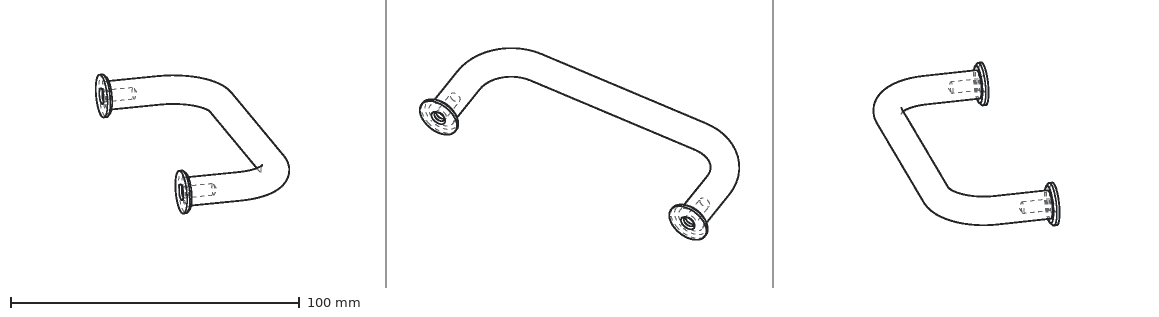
import cadquery as cq
import math

overall_length = 115.0
overall_reach = 43.0

foot_diameter = 15.0
foot_thickness = 2.0
foot_chamfer = 0.9

rod_diameter = 10.0
bend_radius = 17.0

screw_hole_diameter = 4.0
screw_hole_depth = 11.5
drill_point_angle = 118.0
countersink_diameter = 5.5

leg_x = (overall_length - foot_diameter) / 2
grip_y = overall_reach - rod_diameter / 2
bend_start_y = grip_y - bend_radius
bend_end_x = leg_x - bend_radius

screw_hole_radius = screw_hole_diameter / 2
countersink_radius = countersink_diameter / 2
countersink_depth = countersink_radius - screw_hole_radius
drill_tip_length = screw_hole_radius / math.tan(math.radians(drill_point_angle / 2))


def circle_facing_y(x, y, diameter):
    """Circle around (x, y, 0), ready to extrude towards +Y."""
    plane = cq.Plane(origin=(x, y, 0), xDir=(1, 0, 0), normal=(0, 1, 0))
    return cq.Workplane(plane).circle(diameter / 2)


def screw_hole_cutter(x):
    """Countersunk hole with a conical drill point, bored from Y = 0 into the leg at x."""
    profile = (
        cq.Workplane("XY")
        .lineTo(countersink_radius, 0)
        .lineTo(screw_hole_radius, countersink_depth)
        .lineTo(screw_hole_radius, screw_hole_depth)
        .lineTo(0, screw_hole_depth + drill_tip_length)
        .close()
    )
    return profile.revolve(360, (0, 0, 0), (0, 1, 0)).translate((x, 0, 0))


def make_handle():
    """Round rod bent into a U, with a blind screw hole in each leg."""
    centre_line = (
        cq.Workplane("XY")
        .moveTo(-leg_x, foot_thickness)
        .lineTo(-leg_x, bend_start_y)
        .radiusArc((-bend_end_x, grip_y), bend_radius)
        .lineTo(bend_end_x, grip_y)
        .radiusArc((leg_x, bend_start_y), bend_radius)
        .lineTo(leg_x, foot_thickness)
    )
    handle = circle_facing_y(-leg_x, foot_thickness, rod_diameter).sweep(centre_line)
    for x in (-leg_x, leg_x):
        handle = handle.cut(screw_hole_cutter(x))
    return handle


def make_foot(x):
    """Countersunk washer under one leg, chamfered on the rim that faces the rod."""
    disc = circle_facing_y(x, 0, foot_diameter).extrude(foot_thickness)
    disc = disc.faces(">Y").edges().chamfer(foot_chamfer)
    return disc.cut(screw_hole_cutter(x))


handle = make_handle()
feet = [make_foot(x).val() for x in (-leg_x, leg_x)]

result = cq.Compound.makeCompound([handle.val(), *feet])